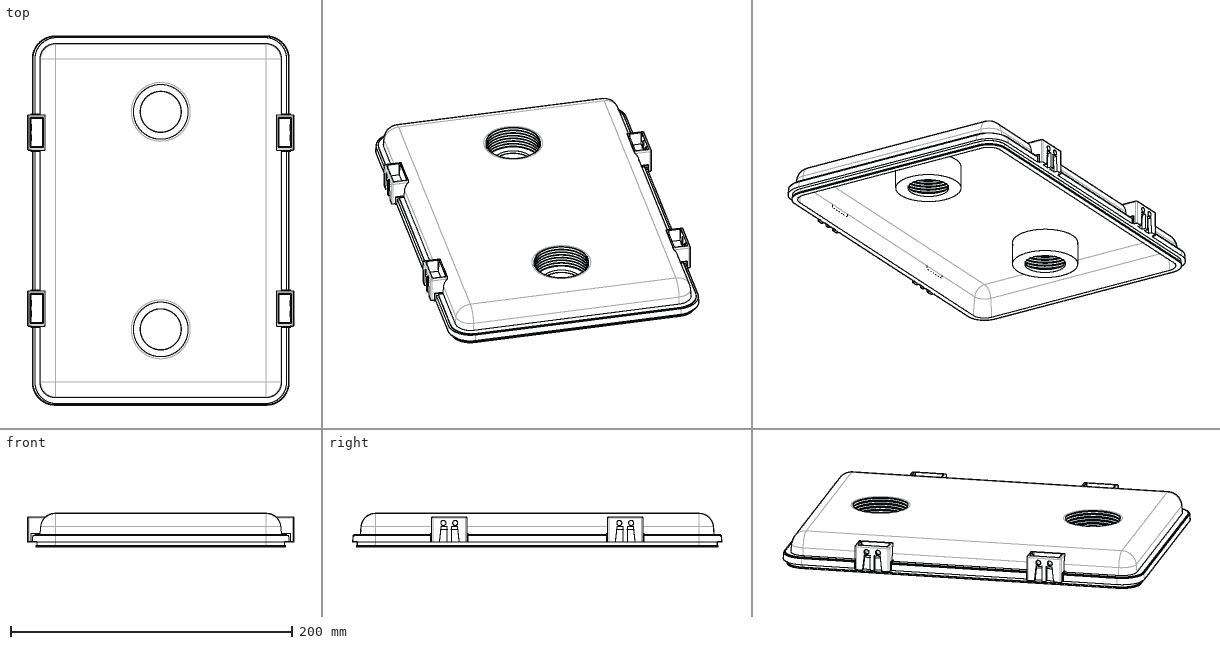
import cadquery as cq
import math

TOTAL_WIDTH = 189.62
TOTAL_LENGTH = 262.85
TOTAL_HEIGHT = 24.03
CORNER_X = 75.0
CORNER_Y = 115.0
WALL = 2.2
DRAFT = 5.0
DRAFT_SLOPE = math.tan(math.radians(DRAFT))
ROUNDING_SHARE = 0.999

FLANGE_RADIUS = TOTAL_LENGTH / 2 - CORNER_Y
DOME_RADIUS = 10.5
LIP_RADIUS = FLANGE_RADIUS - 2.8
SKIRT_RADIUS = LIP_RADIUS - 0.4

LIP_TOP = 1.0
FLANGE_BOTTOM = 3.6
FLANGE_TOP = 8.8
STEP_HEIGHT = 0.7
STEP_INSET_SIDE = 1.9
STEP_INSET_END = 1.2

SOCKET_Y = 77.4
SOCKET_OUTER_DIAMETER = 46.48
THREAD_MAJOR_DIAMETER = 41.91
THREAD_MINOR_DIAMETER = 38.95
THREAD_PITCH = 2.309
THREAD_TURNS = 7
THREAD_RUNOUT = 0.5
SOCKET_DEPTH = THREAD_TURNS * THREAD_PITCH + THREAD_RUNOUT
SOCKET_FLOOR = 2.2
SOCKET_HOLE_DIAMETER = 29.0

CLIP_Y = 62.6
CLIP_LENGTH = 25.2
CLIP_DEPTH = 12.4
CLIP_TOP = 21.5
CLIP_OUTER_WALL = 2.6
CLIP_INNER_WALL = 1.8
CLIP_END_WALL = 2.7
CLIP_FLOOR_TOP = 12.5
CLIP_EDGE_RADIUS = 1.0
PAD_LENGTH = 26.8
PAD_TOP = 9.6
PAD_INSET = 2.6

SLOT_START = 1.5
SLOT_TOP = 14.6
SLOT_TOP_WIDTH = 4.3
SLOT_BOTTOM_WIDTH = 5.5
ROUND_HOLE_OFFSET = 4.2
ROUND_HOLE_RADIUS = 1.8
ROUND_HOLE_Z = 17.1

CLIP_FACE_X = TOTAL_WIDTH / 2
CLIP_INNER_X = CLIP_FACE_X - CLIP_DEPTH


def rounded_plate(radius, bottom, top, draft=0):
    """Rectangular plate with corners of the given radius at its bottom, narrowing by the draft angle."""
    outline = cq.Sketch().rect(2 * (CORNER_X + radius), 2 * (CORNER_Y + radius)).vertices().fillet(radius)
    return cq.Workplane("XY").workplane(offset=bottom).placeSketch(outline).extrude(top - bottom, taper=draft)


def dome(radius, bottom, top):
    """Drafted plate whose rounded top edge is a sphere of the given radius at each corner."""
    angle = math.radians(DRAFT)
    tangent_z = top - radius + radius * math.sin(angle)
    bottom_radius = radius * math.cos(angle) + (tangent_z - bottom) * DRAFT_SLOPE
    plate = rounded_plate(bottom_radius, bottom, top, DRAFT)
    return plate.faces(">Z").edges().fillet(radius * ROUNDING_SHARE)


def box_between(x0, x1, y0, y1, z0, z1):
    return cq.Workplane("XY").box(x1 - x0, y1 - y0, z1 - z0, centered=False).translate((x0, y0, z0))


def make_flange():
    step_bottom = FLANGE_TOP - STEP_HEIGHT
    flange = rounded_plate(FLANGE_RADIUS, FLANGE_BOTTOM, step_bottom, DRAFT)
    step = (
        cq.Workplane("XY")
        .workplane(offset=step_bottom)
        .rect(
            2 * (CORNER_X + FLANGE_RADIUS - STEP_INSET_SIDE),
            2 * (CORNER_Y + FLANGE_RADIUS - STEP_INSET_END),
        )
        .extrude(STEP_HEIGHT)
        .edges("|Z")
        .fillet(FLANGE_RADIUS - STEP_INSET_END)
    )
    return flange.union(step)


def make_slot():
    """Cutter on the +Y half of a clip: a tapered slot, open at the bottom, and a round hole above it."""
    inner_face = cq.Workplane("YZ").workplane(offset=CLIP_FACE_X - CLIP_OUTER_WALL)
    slot = (
        inner_face.moveTo(SLOT_START, FLANGE_BOTTOM)
        .lineTo(SLOT_START + SLOT_BOTTOM_WIDTH, FLANGE_BOTTOM)
        .lineTo(SLOT_START + SLOT_TOP_WIDTH, SLOT_TOP)
        .lineTo(SLOT_START, SLOT_TOP)
        .close()
        .extrude(CLIP_OUTER_WALL)
    )
    round_hole = (
        inner_face.center(ROUND_HOLE_OFFSET, ROUND_HOLE_Z)
        .circle(ROUND_HOLE_RADIUS)
        .extrude(CLIP_OUTER_WALL)
    )
    return slot.union(round_hole)


def make_clip():
    """Clip on the +X side, centred on Y = 0: a block standing on a pad, slotted on its outer face."""
    half_length = CLIP_LENGTH / 2
    half_pad = PAD_LENGTH / 2
    clip = (
        box_between(CLIP_INNER_X, CLIP_FACE_X, -half_length, half_length, FLANGE_BOTTOM, CLIP_TOP)
        .edges("(>X and |Z) or (>Z and (not <X))")
        .fillet(CLIP_EDGE_RADIUS)
    )
    pad = box_between(CLIP_INNER_X, CLIP_FACE_X - PAD_INSET, -half_pad, half_pad, FLANGE_BOTTOM, PAD_TOP)
    slot = make_slot()
    return clip.union(pad).cut(slot).cut(slot.mirror("XZ"))


def make_clip_pocket():
    """Cutter for the pocket of a clip on the +X side, widening upwards by the draft angle."""
    x_start = CLIP_INNER_X + CLIP_INNER_WALL
    x_end = CLIP_FACE_X - CLIP_OUTER_WALL
    return (
        cq.Workplane("XY")
        .workplane(offset=CLIP_FLOOR_TOP)
        .center((x_start + x_end) / 2, 0)
        .rect(x_end - x_start, CLIP_LENGTH - 2 * CLIP_END_WALL)
        .extrude(CLIP_TOP - CLIP_FLOOR_TOP, taper=-DRAFT)
    )


def make_socket_tube():
    """Plain outside of a socket, hanging from the top face."""
    height = SOCKET_DEPTH + SOCKET_FLOOR
    return (
        cq.Workplane("XY")
        .workplane(offset=TOTAL_HEIGHT - height)
        .circle(SOCKET_OUTER_DIAMETER / 2)
        .extrude(height)
    )


def make_socket_bore():
    """Cutter for a socket: ring-shaped thread grooves above a floor with a through hole."""
    minor = THREAD_MINOR_DIAMETER / 2
    major = THREAD_MAJOR_DIAMETER / 2
    hole = SOCKET_HOLE_DIAMETER / 2
    floor_z = TOTAL_HEIGHT - SOCKET_DEPTH
    profile = cq.Workplane("XZ").moveTo(0, 0).lineTo(hole, 0).lineTo(hole, floor_z).lineTo(minor, floor_z)
    flat = THREAD_PITCH / 6
    thread_bottom = TOTAL_HEIGHT - THREAD_TURNS * THREAD_PITCH
    for turn in range(THREAD_TURNS):
        middle = thread_bottom + (turn + 0.5) * THREAD_PITCH
        half_opening = (THREAD_PITCH - flat) / 2
        profile = (
            profile.lineTo(minor, middle - half_opening)
            .lineTo(major, middle - flat / 2)
            .lineTo(major, middle + flat / 2)
            .lineTo(minor, middle + half_opening)
        )
    profile = profile.lineTo(major, TOTAL_HEIGHT)
    return profile.lineTo(0, TOTAL_HEIGHT).close().revolve(360, (0, 0, 0), (0, 1, 0))


cover = dome(DOME_RADIUS, FLANGE_BOTTOM, TOTAL_HEIGHT)
cover = cover.union(make_flange())
cover = cover.union(rounded_plate(SKIRT_RADIUS, 0, FLANGE_BOTTOM))
cover = cover.union(rounded_plate(LIP_RADIUS, 0, LIP_TOP))

right_clip = make_clip()
right_pocket = make_clip_pocket()
for clip_y in (-CLIP_Y, CLIP_Y):
    clip = right_clip.translate((0, clip_y, 0))
    pocket = right_pocket.translate((0, clip_y, 0))
    cover = cover.union(clip).union(clip.mirror("YZ"))
    cover = cover.cut(pocket).cut(pocket.mirror("YZ"))

cover = cover.cut(dome(DOME_RADIUS - WALL, 0, TOTAL_HEIGHT - WALL))

for socket_y in (-SOCKET_Y, SOCKET_Y):
    cover = cover.union(make_socket_tube().translate((0, socket_y, 0)))
    cover = cover.cut(make_socket_bore().translate((0, socket_y, 0)))

result = cq.Workplane("XY").newObject([cover.solids().val()])